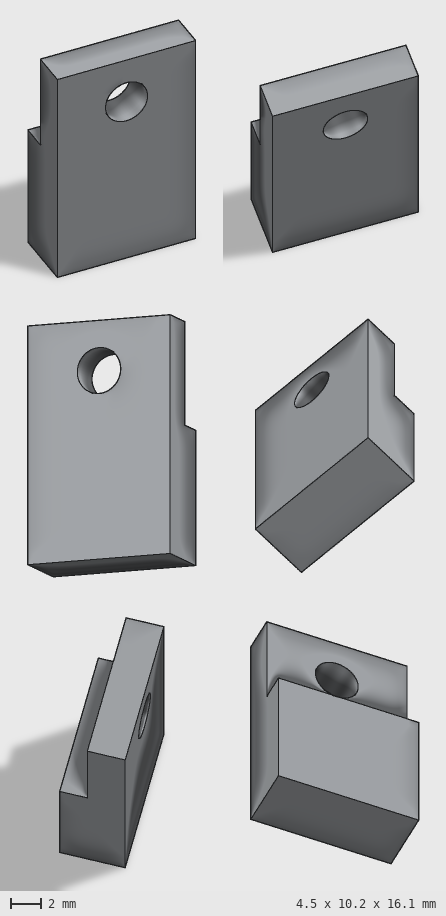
import cadquery as cq

body_thickness = 4.5
width = 10.2
total_height = 16.15

tab_thickness = 2.6
tab_height = 7.0
body_height = total_height - tab_height

hole_diameter = 3.1
hole_from_top = 3.4


def make_profile_block():
    """Stepped XZ outline extruded across the width, centred on Y."""
    back_x = body_thickness
    tab_front_x = body_thickness - tab_thickness
    outline = [
        (0, 0),
        (back_x, 0),
        (back_x, total_height),
        (tab_front_x, total_height),
        (tab_front_x, body_height),
        (0, body_height),
    ]
    return cq.Workplane("XZ").polyline(outline).close().extrude(width / 2, both=True)


def make_hole_cutter():
    """Cylinder along X, centred on the width of the tab."""
    return (
        cq.Workplane("YZ")
        .center(0, total_height - hole_from_top)
        .circle(hole_diameter / 2)
        .extrude(body_thickness)
    )


result = make_profile_block().cut(make_hole_cutter())